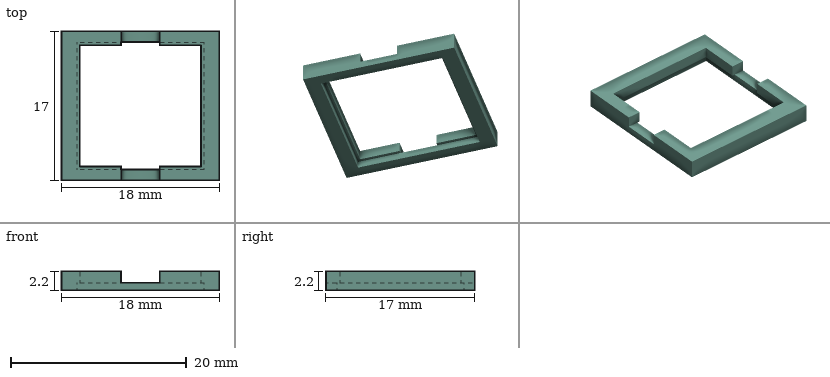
import cadquery as cq

LENGTH_X = 18.0
WIDTH_Y = 17.0
HEIGHT = 2.2

WINDOW_SIDE = 13.8
RECESS_SIDE = 14.5
STEP_HEIGHT = 0.9

NOTCH_WIDTH = 4.4


def block(size_x, size_y, bottom, top):
    """Block centred on the Z axis, spanning the heights bottom to top."""
    return (
        cq.Workplane("XY")
        .workplane(offset=bottom)
        .rect(size_x, size_y)
        .extrude(top - bottom)
    )


frame = block(LENGTH_X, WIDTH_Y, 0, HEIGHT)
window = block(WINDOW_SIDE, WINDOW_SIDE, 0, HEIGHT)
recess = block(RECESS_SIDE, RECESS_SIDE, 0, STEP_HEIGHT)
notches = block(NOTCH_WIDTH, WIDTH_Y, STEP_HEIGHT, HEIGHT)

result = frame.cut(window).cut(recess).cut(notches)